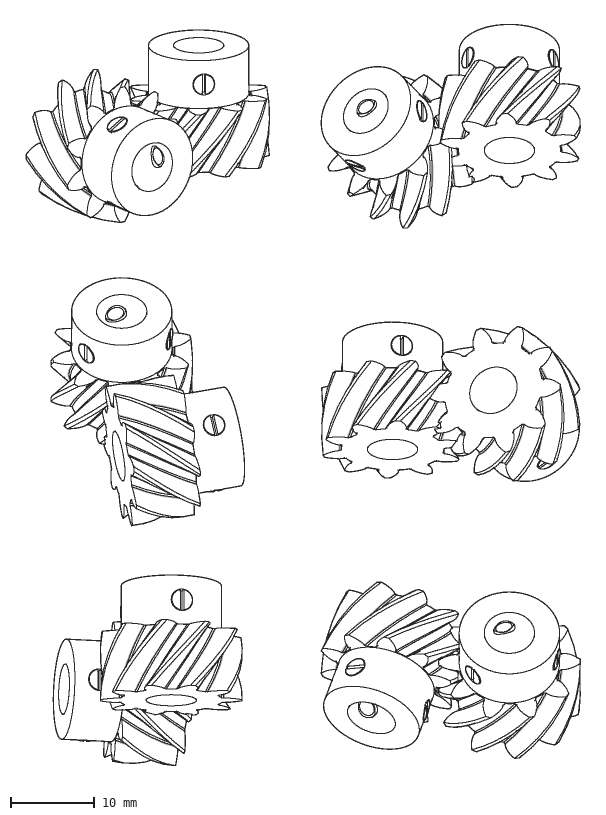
import cadquery as cq
import math

OVERALL_LENGTH = 31.1
CENTRE_DISTANCE = 14.15

TOOTH_COUNT = 10
HELIX_ANGLE = math.radians(36.9)
NORMAL_PRESSURE_ANGLE = math.radians(20)
FACE_WIDTH = 8.0
ROOT_RADIUS = 6.13
ROOT_FILLET = 0.2
FLANK_POINTS = 6
PITCH_RADIUS = CENTRE_DISTANCE / 2
TIP_RADIUS = (OVERALL_LENGTH - CENTRE_DISTANCE) / 2
TRANSVERSE_PRESSURE_ANGLE = math.atan(math.tan(NORMAL_PRESSURE_ANGLE) / math.cos(HELIX_ANGLE))
BASE_RADIUS = PITCH_RADIUS * math.cos(TRANSVERSE_PRESSURE_ANGLE)
TOOTH_PITCH = 2 * math.pi / TOOTH_COUNT
TWIST_DEGREES = math.degrees(FACE_WIDTH * math.tan(HELIX_ANGLE) / PITCH_RADIUS)

HUB_DIAMETER = 12.0
BORE_DIAMETER = 6.0
HUB_LENGTH = 6.0
HUB_MIDDLE = (FACE_WIDTH + HUB_LENGTH) / 2

SCREW_COUNT = 3
FIRST_SCREW_ANGLE = 90.0
SCREW_DIAMETER = 2.6
SCREW_HEAD_CHAMFER = 0.05
SCREW_POINT_CHAMFER = 0.3
SLOT_WIDTH = 0.4
SLOT_DEPTH = 1.05
SCREW_ANGLES = [FIRST_SCREW_ANGLE + i * 360 / SCREW_COUNT for i in range(SCREW_COUNT)]


def polar(radius, angle):
    return (radius * math.cos(angle), radius * math.sin(angle))


def involute(angle):
    return math.tan(angle) - angle


def half_tooth_angle(radius):
    """Angle from the tooth centre line to the involute flank at the given radius."""
    pressure_angle = math.acos(min(1.0, BASE_RADIUS / radius))
    half_at_pitch = TOOTH_PITCH / 4
    return half_at_pitch + involute(TRANSVERSE_PRESSURE_ANGLE) - involute(pressure_angle)


def tooth_profile():
    """Closed transverse outline of all the teeth."""
    tip_roll = math.sqrt((TIP_RADIUS / BASE_RADIUS) ** 2 - 1)
    rolls = [tip_roll * i / (FLANK_POINTS - 1) for i in range(FLANK_POINTS)]
    radii = [BASE_RADIUS * math.hypot(1, roll) for roll in rolls]
    half_at_base = half_tooth_angle(BASE_RADIUS)
    fillet_centre_radius = ROOT_RADIUS + ROOT_FILLET
    fillet_span = math.asin(ROOT_FILLET / fillet_centre_radius)
    foot_radius = fillet_centre_radius * math.cos(fillet_span)
    half_at_root = half_at_base + fillet_span
    outline = cq.Workplane("XY").moveTo(*polar(foot_radius, -half_at_base))
    for tooth in range(TOOTH_COUNT):
        centre = tooth * TOOTH_PITCH
        next_centre = centre + TOOTH_PITCH
        rising_flank = [polar(r, centre - half_tooth_angle(r)) for r in radii]
        falling_flank = [polar(r, centre + half_tooth_angle(r)) for r in reversed(radii)]
        outline = (
            outline.lineTo(*rising_flank[0])
            .spline(rising_flank[1:], includeCurrent=True)
            .threePointArc(polar(TIP_RADIUS, centre), falling_flank[0])
            .spline(falling_flank[1:], includeCurrent=True)
            .lineTo(*polar(foot_radius, centre + half_at_base))
            .radiusArc(polar(ROOT_RADIUS, centre + half_at_root), -ROOT_FILLET)
            .threePointArc(
                polar(ROOT_RADIUS, centre + TOOTH_PITCH / 2),
                polar(ROOT_RADIUS, next_centre - half_at_root),
            )
            .radiusArc(polar(foot_radius, next_centre - half_at_base), -ROOT_FILLET)
        )
    return outline.close()


def make_gear():
    """Gear about Z with its face width centred on the origin and its hub towards +Z."""
    teeth = tooth_profile().twistExtrude(FACE_WIDTH, TWIST_DEGREES)
    teeth = teeth.translate((0, 0, -FACE_WIDTH / 2))
    teeth = teeth.rotate((0, 0, 0), (0, 0, 1), -TWIST_DEGREES)
    hub = cq.Workplane("XY").workplane(offset=FACE_WIDTH / 2).circle(HUB_DIAMETER / 2).extrude(HUB_LENGTH)
    bore = cq.Workplane("XY").circle(BORE_DIAMETER / 2).extrude(FACE_WIDTH + 2 * HUB_LENGTH, both=True)
    gear = teeth.union(hub).cut(bore)
    for angle in SCREW_ANGLES:
        screw_hole = cq.Workplane("YZ").circle(SCREW_DIAMETER / 2).extrude(HUB_DIAMETER)
        gear = gear.cut(place_on_hub(screw_hole, angle))
    return gear


def make_set_screw(slot_angle):
    """Set screw along +X, head outwards, with a slot turned about its own axis."""
    point_x = BORE_DIAMETER / 2
    head_x = HUB_DIAMETER / 2
    screw = cq.Workplane("YZ").workplane(offset=point_x).circle(SCREW_DIAMETER / 2).extrude(head_x - point_x)
    screw = screw.faces("<X").chamfer(SCREW_POINT_CHAMFER)
    screw = screw.faces(">X").chamfer(SCREW_HEAD_CHAMFER)
    slot = cq.Workplane("XY").box(2 * SLOT_DEPTH, SLOT_WIDTH, 2 * SCREW_DIAMETER).translate((head_x, 0, 0))
    return screw.cut(slot.rotate((0, 0, 0), (1, 0, 0), slot_angle))


def place_on_hub(body, angle):
    """Move a body lying along +X to the middle of the hub, at an angle about Z."""
    return body.translate((0, 0, HUB_MIDDLE)).rotate((0, 0, 0), (0, 0, 1), angle)


def lay_down(body):
    """Turn a body from the upright axis to the crossed axis, its hub towards +X."""
    return body.rotate((0, 0, 0), (0, 1, 0), 90).translate((0, -CENTRE_DISTANCE, 0))


upright_gear = make_gear()
lying_gear = lay_down(make_gear()).cut(upright_gear)

upright_screws = [place_on_hub(make_set_screw(0), angle) for angle in SCREW_ANGLES]
lying_screws = [lay_down(place_on_hub(make_set_screw(90), angle)) for angle in SCREW_ANGLES]

set_screws = [screw.val() for screw in upright_screws + lying_screws]
result = cq.Compound.makeCompound([upright_gear.val(), lying_gear.val(), *set_screws])